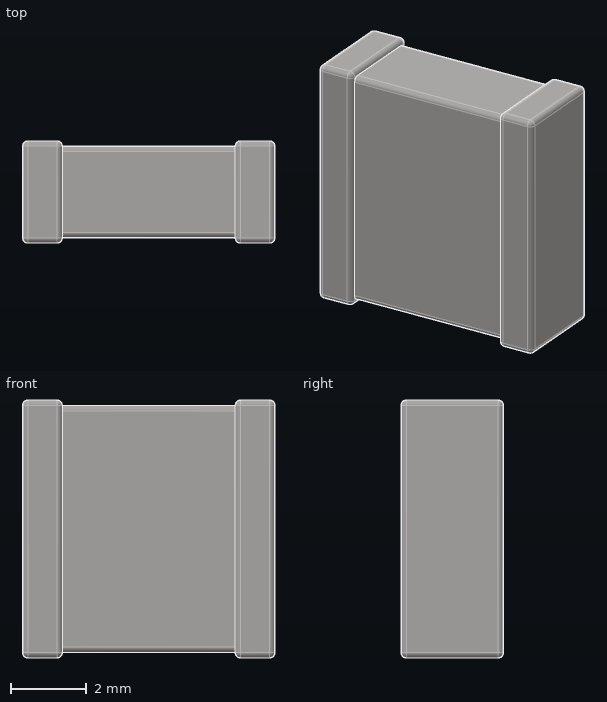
import cadquery as cq

length = 6.65
depth = 2.7
height = 6.8

cap_length = 1.05
cap_overhang = 0.14
edge_radius = cap_overhang

body_length = length - 2 * cap_length
body_depth = depth - 2 * cap_overhang
body_height = height - 2 * cap_overhang
cap_offset = (length - cap_length) / 2


def make_body():
    """Central block that fills the space between the caps, its four long edges rounded."""
    block = cq.Workplane("XY").box(body_length, body_depth, body_height)
    return block.edges("|X").fillet(edge_radius)


def make_end_cap(center_x):
    """End cap: a block centred at center_x with all its edges rounded."""
    block = cq.Workplane("XY").box(cap_length, depth, height)
    return block.edges().fillet(edge_radius).translate((center_x, 0, 0))


body = make_body()

end_caps = []
for side in (-1, 1):
    end_caps.append(make_end_cap(side * cap_offset).val())

result = cq.Compound.makeCompound([body.val(), *end_caps])